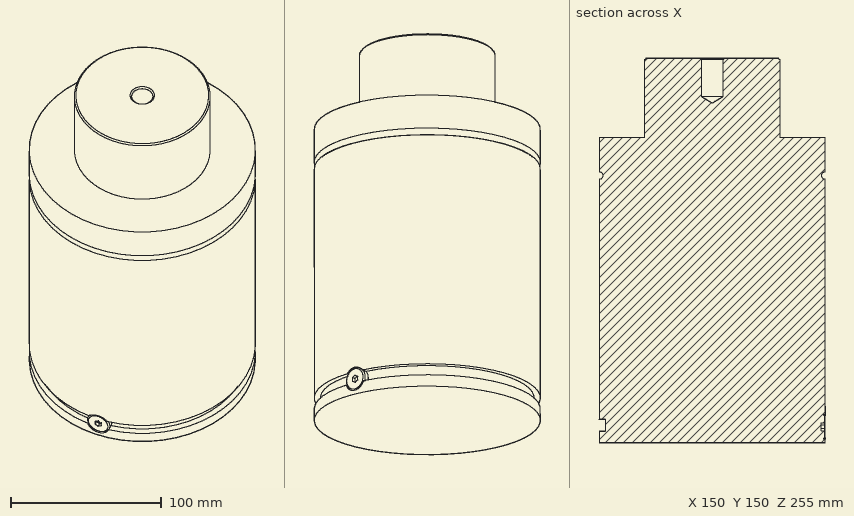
import cadquery as cq
import math

total_height = 255.0
body_diameter = 150.0
body_height = 202.5
rod_diameter = 90.0
rod_chamfer = 1.0

base_groove_bottom = 8.0
base_groove_top = 15.5
base_groove_depth = 4.0

round_groove_height = 177.2
round_groove_radius = 2.3

rod_hole_diameter = 14.0
rod_hole_mouth_diameter = 16.0
rod_hole_depth = 25.5
drill_point_angle = 118.0

plug_diameter = 16.0
plug_face_diameter = 14.0
plug_height = 10.7
plug_recess_depth = 5.0
plug_face_inset = 0.3
socket_across_flats = 4.3
socket_depth = 2.5

body_radius = body_diameter / 2
rod_radius = rod_diameter / 2


def make_body_and_rod():
    """Revolve the stepped outline with both ring grooves."""
    groove_floor_radius = body_radius - base_groove_depth
    return (
        cq.Workplane("XZ")
        .lineTo(body_radius, 0)
        .lineTo(body_radius, base_groove_bottom)
        .lineTo(groove_floor_radius, base_groove_bottom)
        .lineTo(groove_floor_radius, base_groove_top)
        .lineTo(body_radius, base_groove_top)
        .lineTo(body_radius, round_groove_height - round_groove_radius)
        .threePointArc(
            (body_radius - round_groove_radius, round_groove_height),
            (body_radius, round_groove_height + round_groove_radius),
        )
        .lineTo(body_radius, body_height)
        .lineTo(rod_radius, body_height)
        .lineTo(rod_radius, total_height - rod_chamfer)
        .lineTo(rod_radius - rod_chamfer, total_height)
        .lineTo(0, total_height)
        .close()
        .revolve(360, (0, 0, 0), (0, 1, 0))
    )


def make_rod_hole():
    """Cutter for the drilled hole with a 45 degree mouth and a conical end."""
    hole_radius = rod_hole_diameter / 2
    mouth_radius = rod_hole_mouth_diameter / 2
    mouth_depth = mouth_radius - hole_radius
    point_length = hole_radius / math.tan(math.radians(drill_point_angle / 2))
    floor = total_height - rod_hole_depth
    return (
        cq.Workplane("XZ")
        .moveTo(0, total_height)
        .lineTo(mouth_radius, total_height)
        .lineTo(hole_radius, total_height - mouth_depth)
        .lineTo(hole_radius, floor)
        .lineTo(0, floor - point_length)
        .close()
        .revolve(360, (0, 0, 0), (0, 1, 0))
    )


def plug_plane(distance_from_axis):
    """Workplane facing -Y at the plug height."""
    return cq.Workplane("XZ", origin=(0, -distance_from_axis, plug_height))


def add_plug(part):
    """Clear a recess in the wall and seat the chamfered hex-socket plug in it."""
    recess_floor = body_radius - plug_recess_depth
    plug_face = body_radius - plug_face_inset
    plug_chamfer = (plug_diameter - plug_face_diameter) / 2
    socket_corner_diameter = socket_across_flats / math.cos(math.pi / 6)

    recess = plug_plane(recess_floor).circle(plug_diameter / 2).extrude(plug_recess_depth)
    plug = (
        plug_plane(recess_floor)
        .circle(plug_diameter / 2)
        .extrude(plug_face - recess_floor)
        .faces("<Y")
        .chamfer(plug_chamfer)
    )
    socket = (
        plug_plane(plug_face)
        .transformed(rotate=(0, 0, 90))
        .polygon(6, socket_corner_diameter)
        .extrude(-socket_depth)
    )
    return part.cut(recess).union(plug).cut(socket)


result = add_plug(make_body_and_rod().cut(make_rod_hole()))